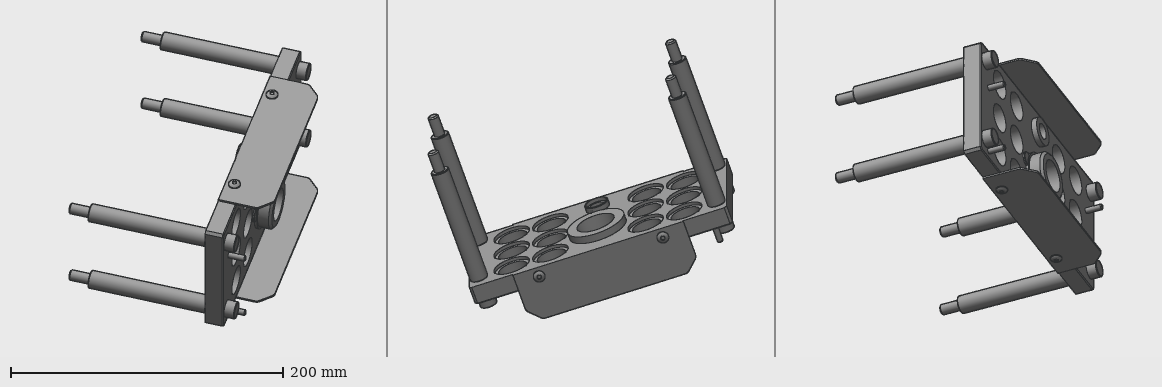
import cadquery as cq

PLATE_THICKNESS = 14.0
PLATE_WIDTH = 200.0
PLATE_HEIGHT = 96.8
CORNER_CHAMFER = 2.0
BACK_EDGE_CHAMFER = 0.8

HOLE_DIAMETER = 22.0
HOLE_RIM_DIAMETER = 27.5
HOLE_RIM_DEPTH = 2.5
HOLE_PITCH = 30.0
INNER_COLUMN_Y = 37.0
OUTER_COLUMN_Y = INNER_COLUMN_Y + HOLE_PITCH
HOLE_COLUMNS = (-OUTER_COLUMN_Y, -INNER_COLUMN_Y, INNER_COLUMN_Y, OUTER_COLUMN_Y)
HOLE_ROWS = (-HOLE_PITCH, 0.0, HOLE_PITCH)

ROD_Y = 92.2
ROD_Z = 35.0
ROD_DIAMETER = 13.5
ROD_LENGTH = 90.5
ROD_CHAMFER = 0.5
ROD_TIP_DIAMETER = 8.0
ROD_TIP_LENGTH = 15.5
ROD_TIP_CHAMFER = 1.0
ROD_HEAD_DIAMETER = 13.0
ROD_HEAD_HEIGHT = 8.0

DOWEL_DIAMETER = 4.5
DOWEL_HEIGHT = 13.0
DOWEL_CHAMFER = 0.8
DOWEL_Y = 86.0
DOWEL_PLACES = ((DOWEL_Y, 15.0), (-DOWEL_Y, 15.0), (-DOWEL_Y, -42.0))

BUSH_Z = -12.5
BUSH_FLANGE_DIAMETER = 44.0
BUSH_FLANGE_HEIGHT = 5.5
BUSH_COLLAR_DIAMETER = 41.2
BUSH_COLLAR_HEIGHT = 2.0
BUSH_BODY_DIAMETER = 38.0
BUSH_BACK_HEIGHT = 12.5
BUSH_BODY_CHAMFER = 2.0
BUSH_BORE_FRONT = 28.8
BUSH_BORE_BACK = 24.8

RETAINER_DIAMETER = 12.0
RETAINER_HEIGHT = 1.5
RETAINER_CHAMFER = 0.5
RETAINER_Y = -19.5
RETAINER_Z = -7.0

SMALL_BUSH_Z = HOLE_PITCH
SMALL_BUSH_FRONT_DIAMETER = 18.0
SMALL_BUSH_FRONT_HEIGHT = 4.5
SMALL_BUSH_CHAMFER = 0.5
SMALL_BUSH_BACK_DIAMETER = 22.0
SMALL_BUSH_BACK_HEIGHT = 4.2
SMALL_BUSH_BORE_DIAMETER = 12.0
SMALL_BUSH_RECESS_DIAMETER = 16.0
SMALL_BUSH_RECESS_DEPTH = 2.8

SHEET_LENGTH = 40.0
SHEET_WIDTH = 132.5
SHEET_THICKNESS = 1.5
SHEET_CHAMFER = 10.0
SHEET_CORNER_RADIUS = 5.0

SCREW_DIAMETER = 8.8
SCREW_RIM_HEIGHT = 0.8
SCREW_HEIGHT = 2.2
SCREW_TOP_DIAMETER = 3.5
SCREW_DOME_SHARE = 0.4
SCREW_SOCKET_DIAMETER = 3.2
SCREW_SOCKET_DEPTH = 1.2
SCREW_Y = 48.0


def rod_along_x(diameter, x_start, x_end, y, z):
    """Cylinder parallel to X between two X positions."""
    return (
        cq.Workplane("YZ", origin=(x_start, y, z))
        .circle(diameter / 2)
        .extrude(x_end - x_start)
    )


def make_plate():
    plate = (
        cq.Workplane("XY")
        .box(PLATE_THICKNESS, PLATE_WIDTH, PLATE_HEIGHT, centered=(False, True, True))
        .edges("|X")
        .chamfer(CORNER_CHAMFER)
        .faces(">X")
        .edges()
        .chamfer(BACK_EDGE_CHAMFER)
    )
    for y in HOLE_COLUMNS:
        for z in HOLE_ROWS:
            plate = plate.cut(rod_along_x(HOLE_DIAMETER, 0, PLATE_THICKNESS, y, z))
            plate = plate.cut(rod_along_x(HOLE_RIM_DIAMETER, 0, HOLE_RIM_DEPTH, y, z))
    return plate


def make_guide_rod(y, z):
    shaft = rod_along_x(ROD_DIAMETER, -ROD_LENGTH, 0, y, z).edges().chamfer(ROD_CHAMFER)
    tip = (
        rod_along_x(ROD_TIP_DIAMETER, -ROD_LENGTH - ROD_TIP_LENGTH, -ROD_LENGTH, y, z)
        .faces("<X")
        .chamfer(ROD_TIP_CHAMFER)
    )
    head = (
        rod_along_x(ROD_HEAD_DIAMETER, PLATE_THICKNESS, PLATE_THICKNESS + ROD_HEAD_HEIGHT, y, z)
        .faces(">X")
        .chamfer(ROD_CHAMFER)
    )
    return shaft.union(tip).union(head)


def make_back_stud(diameter, height, chamfer, y, z):
    """Cylinder standing on the back face with a chamfered end."""
    stud = rod_along_x(diameter, PLATE_THICKNESS, PLATE_THICKNESS + height, y, z)
    return stud.faces(">X").chamfer(chamfer)


def add_large_bush(body):
    collar_end = PLATE_THICKNESS + BUSH_COLLAR_HEIGHT
    bush_end = PLATE_THICKNESS + BUSH_BACK_HEIGHT
    flange = rod_along_x(BUSH_FLANGE_DIAMETER, -BUSH_FLANGE_HEIGHT, 0, 0, BUSH_Z)
    collar = rod_along_x(BUSH_COLLAR_DIAMETER, PLATE_THICKNESS, collar_end, 0, BUSH_Z)
    sleeve = (
        rod_along_x(BUSH_BODY_DIAMETER, collar_end, bush_end, 0, BUSH_Z)
        .faces(">X")
        .chamfer(BUSH_BODY_CHAMFER)
    )
    retainer = make_back_stud(
        RETAINER_DIAMETER, RETAINER_HEIGHT, RETAINER_CHAMFER, RETAINER_Y, RETAINER_Z
    )
    bore = cq.Workplane(
        cq.Solid.makeCone(
            BUSH_BORE_FRONT / 2,
            BUSH_BORE_BACK / 2,
            BUSH_FLANGE_HEIGHT + bush_end,
            pnt=cq.Vector(-BUSH_FLANGE_HEIGHT, 0, BUSH_Z),
            dir=cq.Vector(1, 0, 0),
        )
    )
    return body.union(flange).union(collar).union(sleeve).union(retainer).cut(bore)


def add_small_bush(body):
    front_x = -SMALL_BUSH_FRONT_HEIGHT
    back_x = PLATE_THICKNESS + SMALL_BUSH_BACK_HEIGHT
    front = (
        rod_along_x(SMALL_BUSH_FRONT_DIAMETER, front_x, 0, 0, SMALL_BUSH_Z)
        .faces("<X")
        .chamfer(SMALL_BUSH_CHAMFER)
    )
    back = rod_along_x(SMALL_BUSH_BACK_DIAMETER, PLATE_THICKNESS, back_x, 0, SMALL_BUSH_Z)
    bore = rod_along_x(SMALL_BUSH_BORE_DIAMETER, front_x, back_x, 0, SMALL_BUSH_Z)
    recess = rod_along_x(
        SMALL_BUSH_RECESS_DIAMETER, front_x, front_x + SMALL_BUSH_RECESS_DEPTH, 0, SMALL_BUSH_Z
    )
    return body.union(front).union(back).cut(bore).cut(recess)


def make_screw_head(y):
    """Button head revolved about its Z axis, with a round drive socket."""
    rim_radius = SCREW_DIAMETER / 2
    top_radius = SCREW_TOP_DIAMETER / 2
    dome_point = (
        rim_radius - SCREW_DOME_SHARE * (rim_radius - top_radius),
        SCREW_HEIGHT - SCREW_DOME_SHARE * (SCREW_HEIGHT - SCREW_RIM_HEIGHT),
    )
    head = (
        cq.Workplane("XZ")
        .lineTo(rim_radius, 0)
        .lineTo(rim_radius, SCREW_RIM_HEIGHT)
        .threePointArc(dome_point, (top_radius, SCREW_HEIGHT))
        .lineTo(0, SCREW_HEIGHT)
        .close()
        .revolve(360, (0, 0, 0), (0, 1, 0))
        .faces(">Z")
        .workplane()
        .hole(SCREW_SOCKET_DIAMETER, SCREW_SOCKET_DEPTH)
    )
    return head.translate((PLATE_THICKNESS / 2, y, PLATE_HEIGHT / 2 + SHEET_THICKNESS))


def make_top_cover():
    cover = (
        cq.Workplane("XY", origin=(0, 0, PLATE_HEIGHT / 2))
        .rect(SHEET_LENGTH, SHEET_WIDTH)
        .extrude(SHEET_THICKNESS)
        .translate((SHEET_LENGTH / 2, 0, 0))
        .edges("|Z and >X")
        .chamfer(SHEET_CHAMFER)
        .edges("|Z and (not <X)")
        .fillet(SHEET_CORNER_RADIUS)
    )
    for y in (-SCREW_Y, SCREW_Y):
        cover = cover.union(make_screw_head(y))
    return cover


body = make_plate()
for side in (-1, 1):
    for level in (-1, 1):
        body = body.union(make_guide_rod(side * ROD_Y, level * ROD_Z))
for dowel_y, dowel_z in DOWEL_PLACES:
    body = body.union(make_back_stud(DOWEL_DIAMETER, DOWEL_HEIGHT, DOWEL_CHAMFER, dowel_y, dowel_z))
body = add_large_bush(body)
body = add_small_bush(body)

top_cover = make_top_cover()
result = body.union(top_cover).union(top_cover.mirror("XY"))